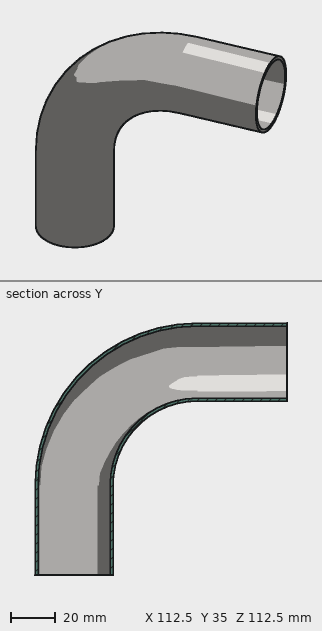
import cadquery as cq

overall_size = 112.5
outer_diameter = 35.0
inner_diameter = 32.0
straight_length = 40.0
bend_angle = 90.0

bend_radius = overall_size - straight_length - outer_diameter / 2


def pipe_section(workplane):
    """Draw the ring-shaped pipe section at the workplane origin."""
    return workplane.circle(outer_diameter / 2).circle(inner_diameter / 2)


vertical_leg = pipe_section(cq.Workplane("XY")).extrude(straight_length)

bend = pipe_section(cq.Workplane("XY", origin=(0, 0, straight_length))).revolve(
    bend_angle, (bend_radius, 0), (bend_radius, 1)
)

horizontal_leg = pipe_section(
    cq.Workplane("YZ", origin=(bend_radius, 0, straight_length + bend_radius))
).extrude(straight_length)

result = vertical_leg.union(bend).union(horizontal_leg)